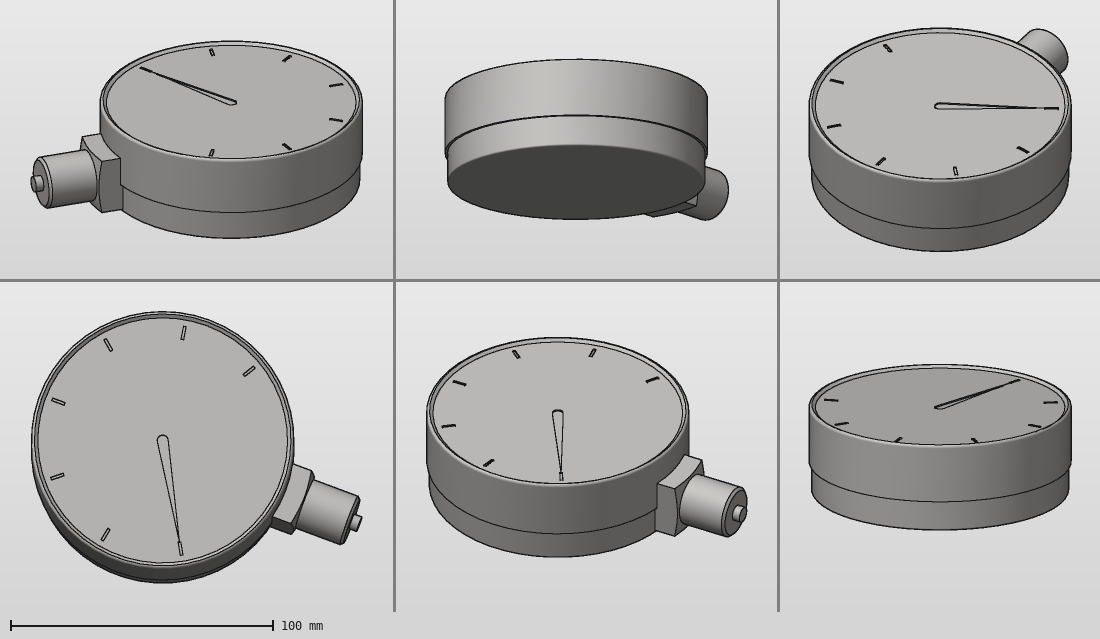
import cadquery as cq
import math

case_height = 34.3
bezel_height = 22.5
bezel_radius = 49.98
bezel_fillet = 1.2
back_radius = 49.0
back_fillet = 0.6

rim_width = 1.3
dial_depth = 1.0
dial_top_radius = bezel_radius - bezel_fillet
dial_radius = dial_top_radius - rim_width
dial_z = case_height - dial_depth

marking_depth = 0.5
mark_count = 7
mark_step = 40
first_mark_angle = -30
mark_inner_radius = 39.9
mark_outer_radius = 45.0
mark_width = 1.0
pointer_angle = 210
pointer_hub_radius = 2.1
pointer_length = mark_inner_radius

stem_z = 12.2
block_width = 22.0
block_end = 57.8
block_chamfer_angle = 15
spigot_radius = 9.9
spigot_end = 77.0
spigot_chamfer = 1.0
pin_radius = 3.0
pin_end = 130 - bezel_radius


def make_case():
    back_height = case_height - bezel_height
    back = cq.Workplane("XY").circle(back_radius).extrude(back_height)
    back = back.faces("<Z").edges().fillet(back_fillet)
    bezel = cq.Workplane("XY", origin=(0, 0, back_height)).circle(bezel_radius).extrude(bezel_height)
    bezel = bezel.faces(">Z").edges().fillet(bezel_fillet)
    dish = cq.Workplane(cq.Solid.makeCone(
        dial_radius, dial_top_radius, dial_depth, pnt=cq.Vector(0, 0, dial_z)))
    return back.union(bezel).cut(dish)


def make_mark(angle):
    length = mark_outer_radius - mark_inner_radius
    middle = (mark_outer_radius + mark_inner_radius) / 2
    mark = cq.Workplane("XY", origin=(0, 0, dial_z)).center(middle, 0)
    mark = mark.rect(length, mark_width).extrude(-marking_depth)
    return mark.rotate((0, 0, 0), (0, 0, 1), angle)


def make_pointer():
    tangent_x = pointer_hub_radius ** 2 / pointer_length
    tangent_y = math.sqrt(pointer_hub_radius ** 2 - tangent_x ** 2)
    pointer = (
        cq.Workplane("XY", origin=(0, 0, dial_z))
        .moveTo(pointer_length, 0)
        .lineTo(tangent_x, tangent_y)
        .threePointArc((-pointer_hub_radius, 0), (tangent_x, -tangent_y))
        .close()
        .extrude(-marking_depth)
    )
    return pointer.rotate((0, 0, 0), (0, 0, 1), pointer_angle)


def stem_plane():
    return cq.Workplane("XZ", origin=(0, 0, stem_z))


def make_block():
    block = stem_plane().rect(block_width, block_width).extrude(block_end)
    base_radius = spigot_radius + block_end / math.tan(math.radians(block_chamfer_angle))
    trim = cq.Workplane(cq.Solid.makeCone(
        base_radius, spigot_radius, block_end, pnt=cq.Vector(0, 0, stem_z), dir=cq.Vector(0, -1, 0)))
    return block.intersect(trim)


def make_spigot():
    spigot = stem_plane().circle(spigot_radius).extrude(spigot_end)
    spigot = spigot.faces("<Y").edges().chamfer(spigot_chamfer)
    pin = stem_plane().circle(pin_radius).extrude(pin_end)
    return spigot.union(pin)


result = make_case().union(make_block()).union(make_spigot()).cut(make_pointer())
for index in range(mark_count):
    result = result.cut(make_mark(first_mark_angle + index * mark_step))